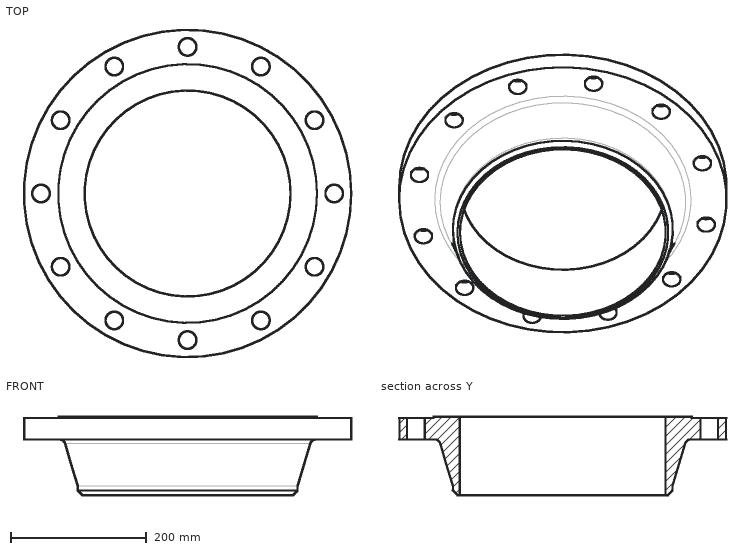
import cadquery as cq

flange_diameter = 482.5
total_height = 116.0
bore_diameter = 303.0

raised_face_diameter = 381.3
raised_face_height = 2.0
flange_underside_depth = 34.0

hub_base_diameter = 365.5
root_fillet = 8.0
weld_end_diameter = 324.5
weld_land_height = 13.5
bevel_height = 6.8
bevel_width = 6.8

bolt_count = 12
bolt_circle_diameter = 432.0
bolt_hole_diameter = 25.5

flange_top = total_height - raised_face_height
flange_underside = total_height - flange_underside_depth
weld_radius = weld_end_diameter / 2


def make_flange_body():
    """Revolve the half section of the flange about Z."""
    bore_radius = bore_diameter / 2
    flange_radius = flange_diameter / 2
    face_radius = raised_face_diameter / 2
    section = (
        cq.Workplane("XZ")
        .moveTo(bore_radius, 0)
        .lineTo(weld_radius - bevel_width, 0)
        .lineTo(weld_radius, bevel_height)
        .lineTo(weld_radius, weld_land_height)
        .lineTo(hub_base_diameter / 2, flange_underside)
        .lineTo(flange_radius, flange_underside)
        .lineTo(flange_radius, flange_top)
        .lineTo(face_radius, flange_top)
        .lineTo(face_radius, total_height)
        .lineTo(bore_radius, total_height)
        .close()
    )
    return section.revolve(360, (0, 0, 0), (0, 1, 0))


def fillet_hub_root(body):
    """Round the inside corner where the hub meets the flange."""
    margin = root_fillet / 2
    hub_radius = hub_base_diameter / 2 + margin
    root_edge = cq.selectors.BoxSelector(
        (-hub_radius, -hub_radius, flange_underside - margin),
        (hub_radius, hub_radius, flange_underside + margin),
        boundingbox=True,
    )
    return body.edges(root_edge).fillet(root_fillet)


def make_bolt_holes():
    """Cutters for the evenly spaced bolt holes."""
    return (
        cq.Workplane("XY")
        .polarArray(bolt_circle_diameter / 2, 0, 360, bolt_count)
        .circle(bolt_hole_diameter / 2)
        .extrude(total_height)
    )


result = fillet_hub_root(make_flange_body()).cut(make_bolt_holes())